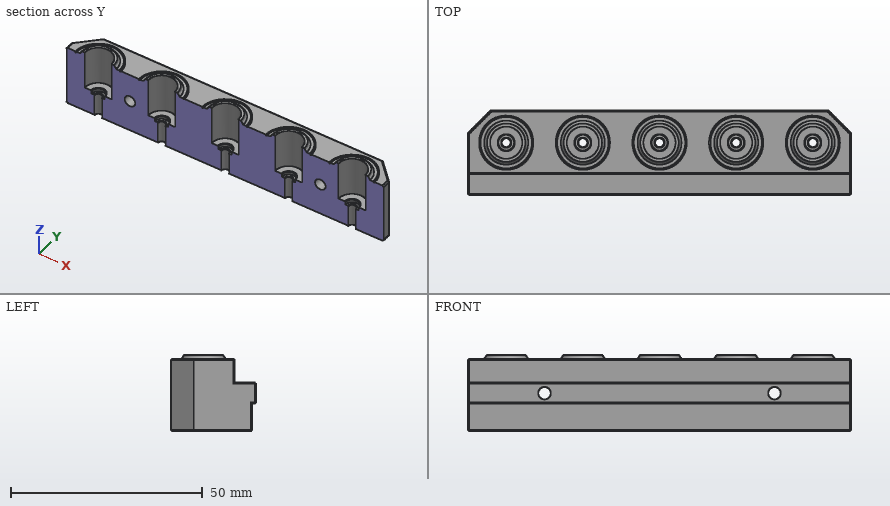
import cadquery as cq

LENGTH = 100.0
BODY_DEPTH = 21.2
LIP_OVERHANG = 1.0
UPPER_DEPTH = 16.7
OVERALL_HEIGHT = 20.0
COLLAR_HEIGHT = 1.0
BODY_TOP = OVERALL_HEIGHT - COLLAR_HEIGHT
LIP_TOP = 12.8
LIP_BOTTOM = 7.2
CORNER_CUT = 6.0
EDGE_CHAMFER = 0.4

BUSHING_COUNT = 5
BUSHING_PITCH = 20.0
BUSHING_SETBACK = 8.5
FLANGE_DIAMETER = 14.2
FLANGE_CHAMFER = 0.4
COLLAR_BASE_DIAMETER = 11.5
COLLAR_SHOULDER_DIAMETER = 10.4
COLLAR_CHAMFER = 0.2
BORE_DIAMETER = 8.4
BORE_DEPTH = 12.0
PIN_SEAT_DIAMETER = 4.1
PIN_SEAT_DEPTH = 1.0
PIN_SEAT_CHAMFER = 0.2
PIN_HOLE_DIAMETER = 2.3
PIN_HOLE_CHAMFER = 0.2

MOUNT_SPACING = 60.0
MOUNT_DIAMETER = 3.2
MOUNT_HEIGHT = 10.0


def make_body():
    """Stepped bar with a front lip, cut rear corners and broken outer edges."""
    lip_front = -(BODY_DEPTH + LIP_OVERHANG)
    profile = [
        (0, 0),
        (-BODY_DEPTH, 0),
        (-BODY_DEPTH, LIP_BOTTOM),
        (lip_front, LIP_BOTTOM),
        (lip_front, LIP_TOP),
        (-UPPER_DEPTH, LIP_TOP),
        (-UPPER_DEPTH, BODY_TOP),
        (0, BODY_TOP),
    ]
    body = cq.Workplane("YZ").polyline(profile).close().extrude(LENGTH / 2, both=True)
    body = body.edges("|Z and >Y").chamfer(CORNER_CUT)

    sharp_edges = body.faces("<X or >X").edges("|Z").edges(">Y").vals()
    outer_edges = body.faces("<X or >X or <Y or <Z or >Z").edges().vals()
    broken_edges = [
        edge for edge in outer_edges
        if not any(edge.isSame(sharp) for sharp in sharp_edges)
    ]
    return body.newObject(broken_edges).chamfer(EDGE_CHAMFER)


def make_flange_groove():
    """V groove between the wall of the bushing seat and the chamfered flange rim."""
    seat_radius = FLANGE_DIAMETER / 2
    section = [
        (seat_radius, 0),
        (seat_radius, -FLANGE_CHAMFER),
        (seat_radius - FLANGE_CHAMFER, 0),
    ]
    return cq.Workplane("XZ").polyline(section).close().revolve(360, (0, 0), (0, 1))


def make_collar():
    """Raised collar with a tapered side and a chamfered top edge."""
    shoulder_radius = COLLAR_SHOULDER_DIAMETER / 2
    section = [
        (0, 0),
        (COLLAR_BASE_DIAMETER / 2, 0),
        (shoulder_radius, COLLAR_HEIGHT - COLLAR_CHAMFER),
        (shoulder_radius - COLLAR_CHAMFER, COLLAR_HEIGHT),
        (0, COLLAR_HEIGHT),
    ]
    return cq.Workplane("XZ").polyline(section).close().revolve(360, (0, 0), (0, 1))


def make_bore():
    """Blind bore with a countersunk pin seat and a pin hole through the underside."""
    bore_floor = COLLAR_HEIGHT - BORE_DEPTH
    seat_floor = bore_floor - PIN_SEAT_DEPTH
    seat_radius = PIN_SEAT_DIAMETER / 2
    pin_radius = PIN_HOLE_DIAMETER / 2
    section = [
        (0, COLLAR_HEIGHT),
        (BORE_DIAMETER / 2, COLLAR_HEIGHT),
        (BORE_DIAMETER / 2, bore_floor),
        (seat_radius + PIN_SEAT_CHAMFER, bore_floor),
        (seat_radius, bore_floor - PIN_SEAT_CHAMFER),
        (seat_radius, seat_floor),
        (pin_radius + PIN_HOLE_CHAMFER, seat_floor),
        (pin_radius, seat_floor - PIN_HOLE_CHAMFER),
        (pin_radius, -BODY_TOP),
        (0, -BODY_TOP),
    ]
    return cq.Workplane("XZ").polyline(section).close().revolve(360, (0, 0), (0, 1))


def add_bushings(body):
    """Fit the row of bushings into the top of the bar."""
    first_x = -BUSHING_PITCH * (BUSHING_COUNT - 1) / 2
    groove = make_flange_groove()
    collar = make_collar()
    bore = make_bore()
    for index in range(BUSHING_COUNT):
        place = (first_x + index * BUSHING_PITCH, -BUSHING_SETBACK, BODY_TOP)
        body = body.cut(groove.translate(place))
        body = body.union(collar.translate(place))
        body = body.cut(bore.translate(place))
    return body


def cut_mounting_holes(body):
    """Drill the two mounting holes from the back through the lip."""
    holes = (
        cq.Workplane("XZ")
        .pushPoints([(-MOUNT_SPACING / 2, MOUNT_HEIGHT), (MOUNT_SPACING / 2, MOUNT_HEIGHT)])
        .circle(MOUNT_DIAMETER / 2)
        .extrude(BODY_DEPTH + LIP_OVERHANG)
    )
    return body.cut(holes)


result = cut_mounting_holes(add_bushings(make_body()))